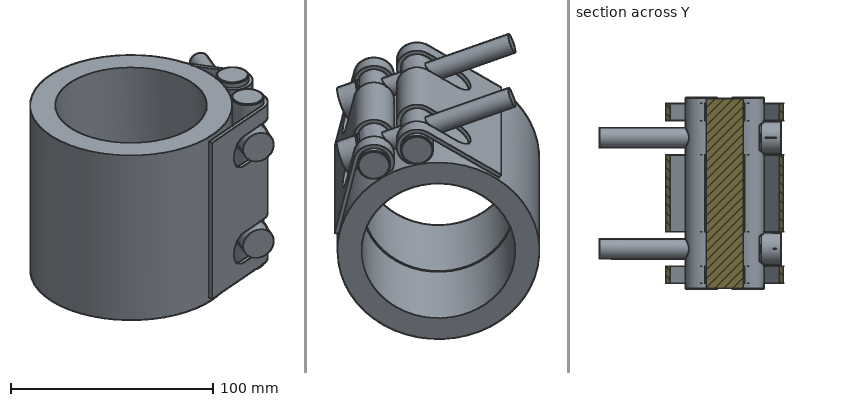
import cadquery as cq
import math

OVERALL_DEPTH = 117.0
SLEEVE_DIAMETER = 99.9
UPPER_BORE_DIAMETER = 75.0
LOWER_BORE_DIAMETER = 76.0

PIN_DIAMETER = 16.0
PIN_LENGTH = 95.0
PIN_CHAMFER = 0.5
PIN_X = 11.5

STRAP_THICKNESS = 2.0
STRAP_WIDTH = 89.0
STRAP_TAIL = 3.0
SLOT_WIDTH = 17.0
SLOT_REACH = 16.7

BOLT_Z = 27.5
BOLT_DIAMETER = 10.0
BOLT_TIP_X = -62.0
HEAD_END_X = 28.0
HEAD_DIAMETER = PIN_DIAMETER
WASHER_X = 17.1
WASHER_THICKNESS = 0.9
WASHER_DIAMETER = 16.6

sleeve_radius = SLEEVE_DIAMETER / 2
sleeve_height = PIN_LENGTH - 2 * PIN_CHAMFER
pin_radius = PIN_DIAMETER / 2
hook_radius = pin_radius + STRAP_THICKNESS
pin_y = OVERALL_DEPTH - sleeve_radius - hook_radius

pin_distance = math.hypot(PIN_X, pin_y)
pin_bearing = math.atan2(pin_y, -PIN_X)
normal_angle = pin_bearing + math.acos((sleeve_radius - pin_radius) / pin_distance)
normal = cq.Vector(math.cos(normal_angle), math.sin(normal_angle), 0)
run = cq.Vector(-normal.y, normal.x, 0)
strap_length = math.sqrt(pin_distance**2 - (sleeve_radius - pin_radius)**2) + STRAP_TAIL
pin_center = cq.Vector(-PIN_X, pin_y, 0)


def cylinder_z(diameter, height):
    """Cylinder on the Z axis, centred on the XY plane."""
    return cq.Workplane("XY", origin=(0, 0, -height / 2)).circle(diameter / 2).extrude(height)


def make_sleeve():
    """Ring whose bore steps out to the larger diameter below mid-height."""
    lower_bore = cq.Workplane("XY").circle(LOWER_BORE_DIAMETER / 2).extrude(-sleeve_height / 2)
    upper_bore = cylinder_z(UPPER_BORE_DIAMETER, sleeve_height)
    return cylinder_z(SLEEVE_DIAMETER, sleeve_height).cut(upper_bore).cut(lower_bore)


def make_pin():
    """Left pin, chamfered at both ends."""
    pin = cylinder_z(PIN_DIAMETER, PIN_LENGTH).faces("|Z").chamfer(PIN_CHAMFER)
    return pin.translate(pin_center)


def make_strap_slot(z):
    """Opening for one bolt: round-ended in the flat strap and running out through the hook."""
    strap_plane = cq.Plane(origin=pin_center + cq.Vector(0, 0, z), xDir=run, normal=normal)
    slot_depth = 2 * hook_radius
    slot_start = -2 * hook_radius
    slot_length = SLOT_REACH - slot_start
    straight = cq.Workplane(strap_plane).center(slot_start + slot_length / 2, 0)
    straight = straight.rect(slot_length, SLOT_WIDTH).extrude(slot_depth, both=True)
    round_end = cq.Workplane(strap_plane).center(SLOT_REACH, 0)
    round_end = round_end.circle(SLOT_WIDTH / 2).extrude(slot_depth, both=True)
    return straight.union(round_end)


def make_strap():
    """Left strap: over the pin, down its inner side to the sleeve, with two bolt slots.

    It is trimmed to the sleeve's outer surface, so the two touch without overlapping.
    """
    def around_pin(radius, angle):
        return (-PIN_X + radius * math.cos(angle), pin_y + radius * math.sin(angle))

    def free_end(radius):
        end = pin_center + normal * radius + run * strap_length
        return (end.x, end.y)

    hook_end_angle = pin_bearing - math.pi
    hook_middle_angle = (normal_angle + hook_end_angle) / 2
    strap = (
        cq.Workplane("XY", origin=(0, 0, -STRAP_WIDTH / 2))
        .moveTo(*free_end(hook_radius))
        .lineTo(*around_pin(hook_radius, normal_angle))
        .threePointArc(around_pin(hook_radius, hook_middle_angle), around_pin(hook_radius, hook_end_angle))
        .lineTo(*around_pin(pin_radius, hook_end_angle))
        .threePointArc(around_pin(pin_radius, hook_middle_angle), around_pin(pin_radius, normal_angle))
        .lineTo(*free_end(pin_radius))
        .close()
        .extrude(STRAP_WIDTH)
    )
    for z in (-BOLT_Z, BOLT_Z):
        strap = strap.cut(make_strap_slot(z))
    return strap.cut(cylinder_z(SLEEVE_DIAMETER, sleeve_height))


def make_bolt(z):
    """Bolt with a round head and a thin washer under it."""
    def cylinder_x(diameter, start, end):
        section = cq.Workplane("YZ", origin=(start, pin_y, z)).circle(diameter / 2)
        return section.extrude(end - start)

    shank = cylinder_x(BOLT_DIAMETER, BOLT_TIP_X, HEAD_END_X)
    washer = cylinder_x(WASHER_DIAMETER, WASHER_X, WASHER_X + WASHER_THICKNESS)
    head = cylinder_x(HEAD_DIAMETER, WASHER_X + WASHER_THICKNESS, HEAD_END_X)
    return shank.union(washer).union(head)


def make_clamp():
    """Both hooked straps and pins, tied together by the two bolts."""
    left_side = make_pin().union(make_strap())
    clamp = left_side.union(left_side.mirror("YZ"))
    for z in (-BOLT_Z, BOLT_Z):
        clamp = clamp.union(make_bolt(z))
    return clamp


sleeve = make_sleeve()
clamp = make_clamp()

result = cq.Compound.makeCompound([sleeve.solids().val(), clamp.solids().val()])